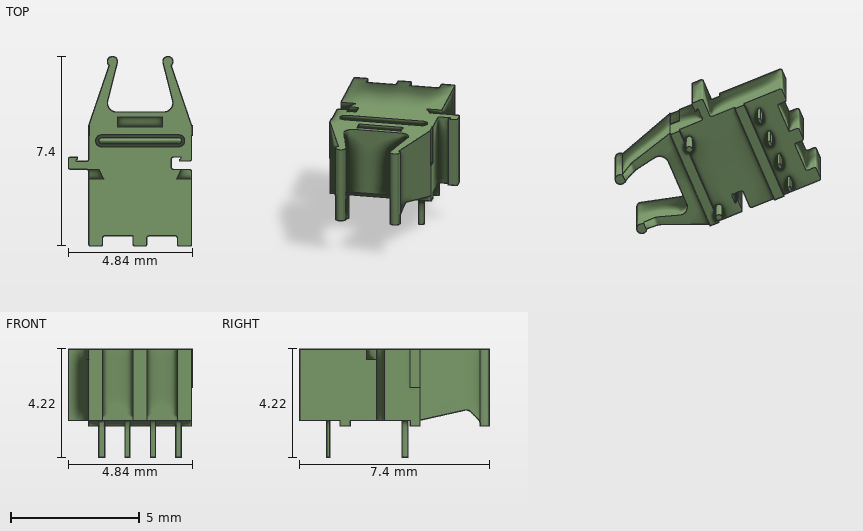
import cadquery as cq
import math

TOP_Z = 3.0
BODY_BOTTOM_Z = 0.22
PIN_BOTTOM_Z = -1.22
BODY_HEIGHT = TOP_Z - BODY_BOTTOM_Z

BODY_WIDTH = 4.02
HALF_WIDTH = BODY_WIDTH / 2
EDGE_ROUND = 0.075

RECESS_DEPTH = 0.4
RECESS_SPANS = ((-1.465, -0.28), (0.257, 1.45))
RECESS_ROUND = 0.09

HOOK_REACH = 0.79
HOOK_FRONT_Y = 3.0
HOOK_BACK_Y = 3.47
HOOK_LIP_LENGTH = 0.365
HOOK_LIP_CREST = 0.05
HOOK_LIP_UNDERCUT = 0.06
HOOK_NECK_Y = 3.32
HOOK_CORNER_ROUND = 0.07
HOOK_ROOT_FRONT_ROUND = 0.09
HOOK_ROOT_BACK_ROUND = 0.075

NOTCH_DEPTH = 0.4
NOTCH_BACK_LENGTH = 0.4
NOTCH_FRONT_LENGTH = 0.59
NOTCH_SPAN = 0.385
NOTCH_FRONT_Y = HOOK_FRONT_Y - NOTCH_SPAN

TOTAL_LENGTH = 7.4
SHOULDER_Y = 4.705
BEAD_RADIUS = 0.2
BEAD_X = 1.082
BEAD_Y = TOTAL_LENGTH - BEAD_RADIUS
NECK_OUTSET = 0.13
NECK_SETBACK = 0.155
NECK_X = BEAD_X + NECK_OUTSET
NECK_Y = BEAD_Y - NECK_SETBACK
THROAT_FLOOR_Y = 5.237
THROAT_WALL_ANGLE = math.radians(14.2)
THROAT_ROUND = 0.35

RAMP_START_Z = 0.23
CREST_Y = 6.584
CREST_Z = 0.65
CREST_ROUND = 0.25
BEAD_FOOT_Y = 7.045
BEAD_FOOT_ROUND = 0.3

REAR_FOOT_FRONT_Y = 4.315
FRONT_FOOT_Y = (1.577, 1.98)

UPPER_STEP = 0.03
UPPER_STEP_BOTTOM_Z = 1.5

WINDOW_WIDTH = 1.75
WINDOW_LENGTH = 0.385
WINDOW_CENTER_Y = 4.85
WINDOW_DEPTH = 0.4

WIRE_DIAMETER = 0.24
WIRE_LEG_X = 1.5
WIRE_Y = 4.11
CHANNEL_WIDTH = 0.475
CHANNEL_DEPTH = 0.28
WIRE_RISE = 0.05
WIRE_AXIS_Z = TOP_Z - CHANNEL_DEPTH + WIRE_RISE

PIN_COUNT = 4
PIN_PITCH = 1.0
PIN_WIDTH = 0.2
PIN_THICKNESS = 0.12
PIN_Y = 1.12


def block(x_range, y_range, z_range):
    """Axis-aligned box given by its limits."""
    size = [high - low for low, high in (x_range, y_range, z_range)]
    corner = (x_range[0], y_range[0], z_range[0])
    return cq.Workplane("XY").box(*size, centered=False).translate(corner)


def round_vertical_edges(solid, corners, radius):
    """Fillet the vertical edges standing at the given (x, y) corners."""
    middle_z = (TOP_Z + BODY_BOTTOM_Z) / 2
    for x, y in corners:
        selector = cq.selectors.NearestToPointSelector((x, y, middle_z))
        solid = solid.edges("|Z").edges(selector).fillet(radius)
    return solid


def make_body():
    """Main block with toothed front face."""
    body = block((-HALF_WIDTH, HALF_WIDTH), (0, SHOULDER_Y), (BODY_BOTTOM_Z, TOP_Z))
    for span in RECESS_SPANS:
        body = body.cut(block(span, (0, RECESS_DEPTH), (BODY_BOTTOM_Z, TOP_Z)))
    (left_start, left_end), (right_start, right_end) = RECESS_SPANS
    tooth_x = (-HALF_WIDTH, left_start, left_end, right_start, right_end, HALF_WIDTH)
    body = round_vertical_edges(body, [(x, 0) for x in tooth_x], EDGE_ROUND)
    inner_x = (left_start, right_start, right_end)
    return round_vertical_edges(body, [(x, RECESS_DEPTH) for x in inner_x], RECESS_ROUND)


def make_hook():
    """Latch hook, with rounded roots where it joins the -X side of the body."""
    root_x = -HALF_WIDTH
    tip_x = root_x - HOOK_REACH
    lip_x = tip_x + HOOK_LIP_LENGTH
    undercut_x = lip_x - HOOK_LIP_UNDERCUT
    crest_y = HOOK_BACK_Y - HOOK_LIP_CREST
    corner = HOOK_CORNER_ROUND
    front_round = HOOK_ROOT_FRONT_ROUND
    back_round = HOOK_ROOT_BACK_ROUND
    return (
        cq.Workplane("XY", origin=(0, 0, BODY_BOTTOM_Z))
        .moveTo(root_x, HOOK_FRONT_Y - front_round)
        .radiusArc((root_x - front_round, HOOK_FRONT_Y), -front_round)
        .lineTo(tip_x + corner, HOOK_FRONT_Y)
        .radiusArc((tip_x, HOOK_FRONT_Y + corner), corner)
        .lineTo(tip_x, HOOK_BACK_Y - corner)
        .radiusArc((tip_x + corner, HOOK_BACK_Y), corner)
        .lineTo(lip_x, HOOK_BACK_Y)
        .lineTo(lip_x, crest_y)
        .lineTo(undercut_x, crest_y - HOOK_LIP_UNDERCUT)
        .lineTo(undercut_x, HOOK_NECK_Y)
        .lineTo(root_x - back_round, HOOK_NECK_Y)
        .radiusArc((root_x, HOOK_NECK_Y + back_round), -back_round)
        .close()
        .extrude(BODY_HEIGHT)
    )


def make_edge_notch():
    """Tapered notch in the top of the -X side edge."""
    corners = [
        (-HALF_WIDTH - HOOK_REACH, HOOK_FRONT_Y),
        (-HALF_WIDTH + NOTCH_BACK_LENGTH, HOOK_FRONT_Y),
        (-HALF_WIDTH + NOTCH_FRONT_LENGTH, NOTCH_FRONT_Y),
        (-HALF_WIDTH - HOOK_REACH, NOTCH_FRONT_Y),
    ]
    base = cq.Workplane("XY", origin=(0, 0, TOP_Z - NOTCH_DEPTH))
    return base.polyline(corners).close().extrude(NOTCH_DEPTH)


def make_underside():
    """Space below the rear arms, cut across the full width."""
    slope_end_z = CREST_Z - (BEAD_FOOT_Y - CREST_Y)
    profile = [
        (SHOULDER_Y, 0),
        (SHOULDER_Y, RAMP_START_Z),
        (CREST_Y, CREST_Z),
        (BEAD_FOOT_Y, slope_end_z),
        (BEAD_FOOT_Y, 0),
    ]
    base = cq.Workplane("YZ", origin=(-BODY_WIDTH, 0, 0))
    space = base.polyline(profile).close().extrude(2 * BODY_WIDTH)
    crest = cq.selectors.NearestToPointSelector((0, CREST_Y, CREST_Z))
    bead_foot = cq.selectors.NearestToPointSelector((0, BEAD_FOOT_Y, slope_end_z))
    space = space.edges("|X").edges(crest).fillet(CREST_ROUND)
    return space.edges("|X").edges(bead_foot).fillet(BEAD_FOOT_ROUND)


def make_arms():
    """Forked rear end with beaded tips and a cleared underside."""
    tangent_x = BEAD_X - BEAD_RADIUS * math.cos(THROAT_WALL_ANGLE)
    tangent_y = BEAD_Y - BEAD_RADIUS * math.sin(THROAT_WALL_ANGLE)
    floor_x = tangent_x + (tangent_y - THROAT_FLOOR_Y) * math.tan(THROAT_WALL_ANGLE)
    right_side = [
        (floor_x, THROAT_FLOOR_Y),
        (tangent_x, tangent_y),
        (BEAD_X, BEAD_Y),
        (NECK_X, NECK_Y),
        (HALF_WIDTH, SHOULDER_Y),
    ]
    left_side = [(-x, y) for x, y in reversed(right_side)]
    arms = cq.Workplane("XY").polyline(left_side + right_side).close().extrude(TOP_Z)
    throat_corners = [(side * floor_x, THROAT_FLOOR_Y) for side in (-1, 1)]
    arms = round_vertical_edges(arms, throat_corners, THROAT_ROUND)
    bead_centers = [(side * BEAD_X, BEAD_Y) for side in (-1, 1)]
    beads = cq.Workplane("XY").pushPoints(bead_centers).circle(BEAD_RADIUS).extrude(TOP_Z)
    return arms.union(beads).cut(make_underside())


def make_feet():
    """Two standoff feet below the body."""
    width = (-HALF_WIDTH, HALF_WIDTH)
    height = (0, BODY_BOTTOM_Z)
    front_foot = block(width, FRONT_FOOT_Y, height)
    rear_foot = block(width, (REAR_FOOT_FRONT_Y, SHOULDER_Y), height)
    return front_foot.union(rear_foot)


def make_side_step(side_x):
    """Thin slab reaching from a side face toward +X, above the rear foot."""
    y_range = (REAR_FOOT_FRONT_Y, SHOULDER_Y)
    return block((side_x, side_x + UPPER_STEP), y_range, (UPPER_STEP_BOTTOM_Z, TOP_Z))


def make_window():
    """Rectangular pocket in the top face."""
    pocket = cq.Workplane("XY", origin=(0, WINDOW_CENTER_Y, TOP_Z))
    return pocket.rect(WINDOW_WIDTH, WINDOW_LENGTH).extrude(-WINDOW_DEPTH)


def make_channel():
    """Stadium shaped channel that exposes the bent wire."""
    channel = cq.Workplane("XY", origin=(0, WIRE_Y, TOP_Z))
    return channel.slot2D(2 * WIRE_LEG_X + CHANNEL_WIDTH, CHANNEL_WIDTH).extrude(-CHANNEL_DEPTH)


def make_wire():
    """U-shaped wire: a crossbar, two round elbows and two legs."""
    radius = WIRE_DIAMETER / 2
    crossbar = cq.Workplane("YZ", origin=(-WIRE_LEG_X, WIRE_Y, WIRE_AXIS_Z))
    wire = crossbar.circle(radius).extrude(2 * WIRE_LEG_X)
    for leg_x in (-WIRE_LEG_X, WIRE_LEG_X):
        elbow = cq.Workplane("XY", origin=(leg_x, WIRE_Y, WIRE_AXIS_Z)).sphere(radius)
        leg = cq.Workplane("XY", origin=(leg_x, WIRE_Y, PIN_BOTTOM_Z))
        leg = leg.circle(radius).extrude(WIRE_AXIS_Z - PIN_BOTTOM_Z)
        wire = wire.union(elbow).union(leg)
    return wire


def make_pins():
    """Row of flat terminal pins."""
    pins = cq.Workplane("XY", origin=(0, PIN_Y, PIN_BOTTOM_Z))
    pins = pins.rarray(PIN_PITCH, 1, PIN_COUNT, 1).rect(PIN_WIDTH, PIN_THICKNESS)
    return pins.extrude(BODY_BOTTOM_Z - PIN_BOTTOM_Z)


hook = make_hook()
slot = hook.translate((BODY_WIDTH, 0, 0))
left_notch = make_edge_notch()
right_notch = left_notch.mirror("YZ")

housing = make_body().union(make_arms()).union(make_feet())
housing = housing.cut(left_notch).cut(right_notch).union(hook.cut(left_notch)).cut(slot)
housing = housing.cut(make_side_step(-HALF_WIDTH)).union(make_side_step(HALF_WIDTH))
housing = housing.cut(make_window()).cut(make_channel())

result = housing.union(make_wire()).union(make_pins())